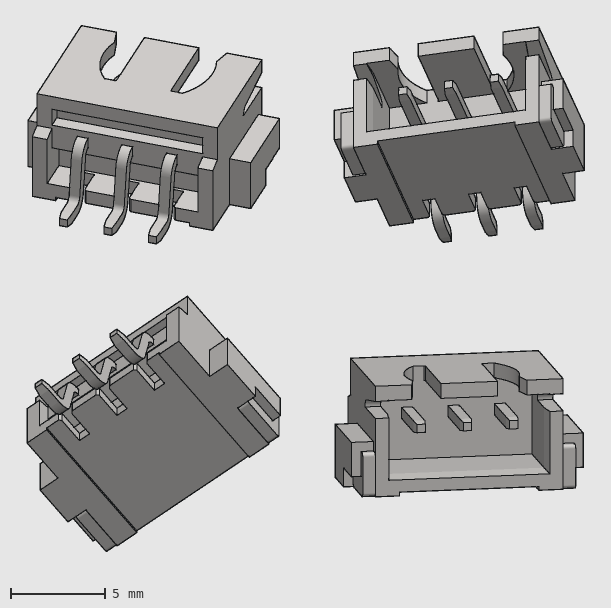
import cadquery as cq
import math


body_width = 10.12
body_depth = 7.85
body_height = 6.0
setback = 0.75
shoulder_low_z = 3.75
shoulder_high_z = 4.0
opening_width = 8.45
opening_floor_z = 0.99
opening_top_z = 5.2
underside_recess_width = 7.5
underside_recess_height = 0.2

ledge_z = 4.2
ledge_back_y = 1.52
undercut_front_z = 2.78
undercut_back_z = 2.5
undercut_back_y = 1.86

cavity_depth = 4.5
lead_in_depth = 0.99
lead_in_flare = 0.11
side_slot_depth = 2.92
side_slot_floor_z = 4.25
side_slot_mouth_z = 5.18
side_slot_end_z = 4.65
side_slot_round = 0.44

latch_inner_x = 1.52
latch_end_x = 2.19
latch_mouth_x = 3.1
latch_throat_x = 2.86
latch_throat_depth = 0.99
latch_throat_radius = 0.2
latch_bulge_x = 3.05
latch_bulge_depth = 2.0
latch_corner = 0.06

total_width = 12.5
wing_height = 2.89
wing_back_gap = 0.55
wing_length = 4.61

tab_span = 11.48
tab_height = 2.38
tab_foot_height = 1.02
tab_foot_length = 2.74
tab_round = 0.2

pin_count = 3
pin_pitch = 2.5
pin_thickness = 0.6
pin_top_z = 3.8
pin_front_reach = 2.35
pin_back_gap = 0.51
pin_tip_length = 0.52
pin_tip_thickness = 0.45
pin_lean = math.radians(9.6)
pin_heel_y = -0.62
pin_shoulder_radius = 1.0
pin_heel_radius = 0.36
pin_slot_width = 0.68
pin_slot_back_y = 1.66
pin_slot_chamfer = 0.12

pin_xs = [(i - (pin_count - 1) / 2) * pin_pitch for i in range(pin_count)]


def block(x_range, y_range, z_range):
    (x0, x1), (y0, y1), (z0, z1) = x_range, y_range, z_range
    return cq.Workplane("XY").box(x1 - x0, y1 - y0, z1 - z0, centered=False).translate((x0, y0, z0))


def side_prism(points, x0, x1):
    """Prism with a (Y, Z) outline that runs from x0 to x1."""
    return cq.Workplane("YZ").workplane(offset=x0).polyline(points).close().extrude(x1 - x0)


def centred_prism(points, width):
    return side_prism(points, -width / 2, width / 2)


def make_body():
    return centred_prism(
        [
            (0, 0),
            (body_depth, 0),
            (body_depth, body_height),
            (setback, body_height),
            (setback, shoulder_high_z),
            (0, shoulder_low_z),
        ],
        body_width,
    )


def front_opening():
    """Space in front of the stepped and undercut cross wall."""
    return centred_prism(
        [
            (0, opening_floor_z),
            (undercut_back_y, opening_floor_z),
            (undercut_back_y, undercut_back_z),
            (setback, undercut_front_z),
            (setback, ledge_z),
            (ledge_back_y, ledge_z),
            (ledge_back_y, opening_top_z),
            (0, opening_top_z),
        ],
        opening_width,
    )


def mating_cavity():
    """Cavity open to the back, with a floor and side walls that flare at the mouth."""
    flare_y = body_depth - lead_in_depth
    cavity_height = opening_top_z - opening_floor_z
    half_width = opening_width / 2
    straight = block(
        (-half_width, half_width),
        (body_depth - cavity_depth, flare_y),
        (opening_floor_z, opening_top_z),
    )
    roof_line = cq.Plane((0, flare_y, opening_top_z), xDir=(-1, 0, 0), normal=(0, 1, 0))
    mouth_height = cavity_height + lead_in_flare
    flare = (
        cq.Workplane(roof_line)
        .center(0, -cavity_height / 2)
        .rect(opening_width, cavity_height)
        .workplane(offset=lead_in_depth)
        .center(0, -lead_in_flare / 2)
        .rect(opening_width + 2 * lead_in_flare, mouth_height)
        .loft()
    )
    return straight.union(flare)


def side_slots():
    """Slot with a sloped roof through both side walls, open to the back."""
    end_y = body_depth - side_slot_depth
    slot = centred_prism(
        [
            (body_depth, side_slot_floor_z),
            (body_depth, side_slot_mouth_z),
            (end_y, side_slot_end_z),
            (end_y, side_slot_floor_z),
        ],
        body_width,
    )
    roof_end = cq.selectors.NearestToPointSelector((0, end_y, side_slot_end_z))
    return slot.edges("|X").edges(roof_end).fillet(side_slot_round)


def latch_slot():
    """Slot through the roof on the +X side of the tongue, bulging outwards."""
    end_y = body_depth - cavity_depth
    throat = (latch_throat_x, body_depth - latch_throat_depth)
    bulge = (latch_bulge_x, body_depth - latch_bulge_depth)
    slot = (
        cq.Workplane("XY")
        .workplane(offset=opening_top_z)
        .moveTo(latch_inner_x, body_depth)
        .lineTo(latch_mouth_x, body_depth)
        .lineTo(*throat)
        .threePointArc(bulge, (latch_end_x, end_y))
        .lineTo(latch_inner_x + latch_corner, end_y)
        .lineTo(latch_inner_x, end_y + latch_corner)
        .close()
        .extrude(body_height - opening_top_z)
    )
    throat_edge = cq.selectors.NearestToPointSelector((*throat, (opening_top_z + body_height) / 2))
    return slot.edges("|Z").edges(throat_edge).fillet(latch_throat_radius)


def pin_slot(x):
    """Slot in the opening's floor for a pin's drop leg, chamfered at the front."""
    half = pin_slot_width / 2
    wide = half + pin_slot_chamfer
    return (
        cq.Workplane("XY")
        .polyline(
            [
                (x - wide, 0),
                (x - half, pin_slot_chamfer),
                (x - half, pin_slot_back_y),
                (x + half, pin_slot_back_y),
                (x + half, pin_slot_chamfer),
                (x + wide, 0),
            ]
        )
        .close()
        .extrude(opening_floor_z)
    )


def make_wing():
    """Wing on the +X side, without the room for the solder tab."""
    wing_back_y = body_depth - wing_back_gap
    return block(
        (body_width / 2, total_width / 2),
        (wing_back_y - wing_length, wing_back_y),
        (0, wing_height),
    )


def tab_notch():
    """Notch under the +X wing that holds the foot of the solder tab."""
    return block(
        (body_width / 2, total_width / 2),
        (body_depth - tab_foot_length, body_depth),
        (0, tab_foot_height),
    )


def mirrored(shape):
    return shape.mirror("YZ")


def make_housing(pins):
    wing = make_wing().cut(tab_notch())
    housing = make_body().union(wing).union(mirrored(wing))
    housing = housing.cut(front_opening()).cut(mating_cavity()).cut(side_slots())
    housing = housing.cut(latch_slot()).cut(mirrored(latch_slot()))
    half_recess = underside_recess_width / 2
    housing = housing.cut(
        block((-half_recess, half_recess), (0, body_depth), (0, underside_recess_height))
    )
    for x in pin_xs:
        housing = housing.cut(pin_slot(x))
    for pin in pins:
        housing = housing.cut(pin)
    return housing


def make_tab():
    """Solder tab on the +X side: an upright behind the wing and a foot below it."""
    back = body_depth
    tab = side_prism(
        [
            (back, 0),
            (back, tab_height),
            (back - wing_back_gap, tab_height),
            (back - wing_back_gap, tab_foot_height),
            (back - tab_foot_length, tab_foot_height),
            (back - tab_foot_length, 0),
        ],
        body_width / 2,
        tab_span / 2,
    )
    tab = tab.faces(">Y").edges("|X").fillet(tab_round)
    foot_toe = cq.selectors.NearestToPointSelector((tab_span / 2, back - tab_foot_length, 0))
    return tab.edges("|X").edges(foot_toe).fillet(tab_round)


def pin_tip(x, z, y_base, direction):
    """Tapered end of a pin, pointing along +Y (direction 1) or -Y (direction -1)."""
    plane = cq.Plane((x, y_base, z), xDir=(1, 0, 0), normal=(0, direction, 0))
    return (
        cq.Workplane(plane)
        .rect(pin_thickness, pin_thickness)
        .workplane(offset=pin_tip_length)
        .rect(pin_tip_thickness, pin_tip_thickness)
        .loft()
    )


def make_pin(x):
    """Square pin: a straight contact, a leaning drop leg and a solder foot."""
    contact_end_y = body_depth - pin_back_gap - pin_tip_length
    foot_end_y = pin_tip_length - pin_front_reach
    contact_bottom_z = pin_top_z - pin_thickness

    def leg_front(z):
        return pin_heel_y + (z - pin_thickness) * math.tan(pin_lean)

    def leg_back(z):
        return leg_front(z) + pin_thickness / math.cos(pin_lean)

    shoulder = (leg_front(pin_top_z), pin_top_z)
    crook = (leg_back(contact_bottom_z), contact_bottom_z)
    ankle = (leg_front(pin_thickness), pin_thickness)
    heel = (leg_back(0), 0)
    strip = side_prism(
        [
            (contact_end_y, pin_top_z),
            shoulder,
            ankle,
            (foot_end_y, pin_thickness),
            (foot_end_y, 0),
            heel,
            crook,
            (contact_end_y, contact_bottom_z),
        ],
        x - pin_thickness / 2,
        x + pin_thickness / 2,
    )
    bends = [
        (shoulder, pin_shoulder_radius),
        (crook, pin_shoulder_radius - pin_thickness),
        (ankle, pin_heel_radius),
        (heel, pin_heel_radius + pin_thickness),
    ]
    for (y, z), radius in bends:
        corner = cq.selectors.NearestToPointSelector((x, y, z))
        strip = strip.edges("|X").edges(corner).fillet(radius)
    contact_tip = pin_tip(x, pin_top_z - pin_thickness / 2, contact_end_y, 1)
    foot_tip = pin_tip(x, pin_thickness / 2, foot_end_y, -1)
    return strip.union(contact_tip).union(foot_tip)


pins = [make_pin(x) for x in pin_xs]
housing = make_housing(pins)
right_tab = make_tab()
left_tab = mirrored(right_tab)

result = cq.Compound.makeCompound(
    [housing.val(), left_tab.val(), right_tab.val(), *[pin.val() for pin in pins]]
)